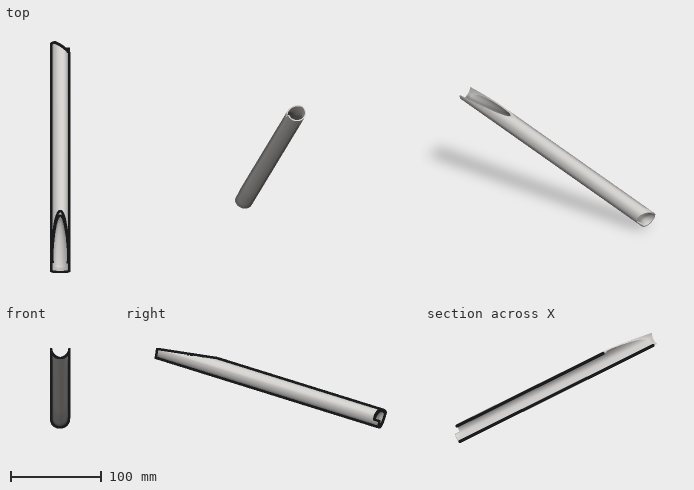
import cadquery as cq
import math

overall_length = 253.4
outer_diameter = 20.0
wall = 1.4
tilt = 17.3
nib_overrun = 25.3
scoop_length = 152.0

split_level = -3.3
upper_flat_end = -6.0
upper_right_setback = 10.5
lower_right_setback = 4.0

outer_radius = outer_diameter / 2

tilt_angle = math.radians(tilt)
nib_reach = outer_radius * math.tan(tilt_angle / 2)
far_point_height = math.sqrt(outer_radius**2 - upper_flat_end**2)
far_point_lean = far_point_height * math.sin(tilt_angle)
tube_length = (overall_length - nib_reach - far_point_lean) / math.cos(tilt_angle)

bore_radius = outer_radius - wall
margin = 2 * outer_radius


def make_tube():
    """Straight open tube along Y, with its axis through the origin."""
    return (
        cq.Workplane("XZ", origin=(0, -nib_overrun, 0))
        .circle(outer_radius)
        .circle(bore_radius)
        .extrude(-(tube_length + nib_overrun))
    )


def end_cutter(edge, height):
    """Block beyond a far-end edge, reaching from the split level up or down by the given height."""
    corners = [(edge[-1][0], tube_length + margin), (edge[0][0], tube_length + margin)]
    return (
        cq.Workplane("XY", origin=(0, 0, split_level))
        .polyline(edge + corners)
        .close()
        .extrude(height)
    )


def trim_far_end(tube):
    upper_edge = [
        (upper_flat_end, tube_length),
        (outer_radius, tube_length - upper_right_setback),
    ]
    lower_edge = [
        (-outer_radius, tube_length),
        (outer_radius, tube_length - lower_right_setback),
    ]
    return tube.cut(end_cutter(upper_edge, margin)).cut(end_cutter(lower_edge, -margin))


def make_scoop():
    """Level cylinder of the tube's own radius; it leaves a long nib with a knife edge."""
    return (
        cq.Workplane("XZ", origin=(0, -scoop_length / 2, 0))
        .circle(outer_radius)
        .extrude(-scoop_length)
    )


def keep_largest(body):
    """Drop the loose piece of tube that the scoop cuts off beyond the nib."""
    return cq.Workplane(max(body.solids().vals(), key=lambda solid: solid.Volume()))


tube = trim_far_end(make_tube()).rotate((0, 0, 0), (1, 0, 0), -tilt)
result = keep_largest(tube.cut(make_scoop()))